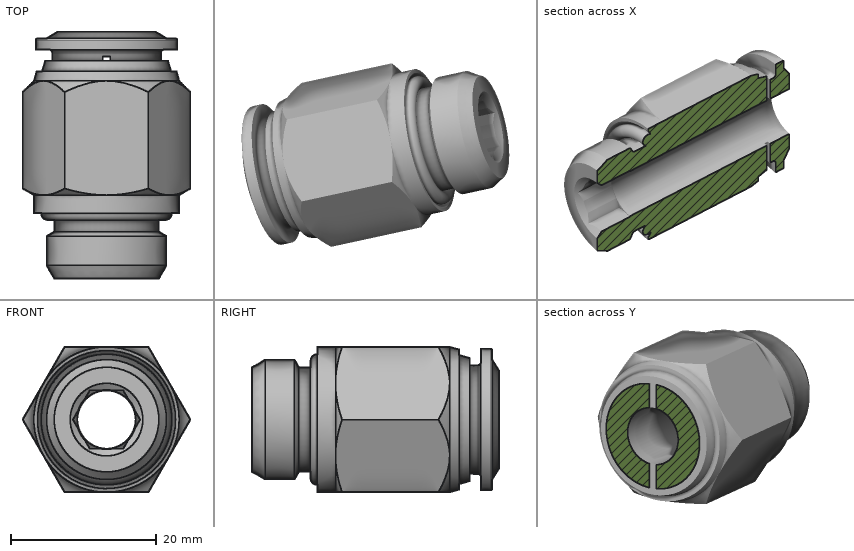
import cadquery as cq
import math

LENGTH = 34.0

HEX_HALF_ANGLE = math.radians(30)

thread_radius = 8.25
neck_radius = 7.2
thread_step = thread_radius - neck_radius
thread_lead_angle = math.radians(30)
runout_angle = math.radians(60)
thread_lead_length = thread_step / math.tan(thread_lead_angle)
runout_length = thread_step / math.tan(runout_angle)
neck_start_y = 6.45

ring_center_radius = 8.05
ring_wire_radius = 0.95
seat_mouth_radius = 9.5
seat_contact_angle = math.radians(30)

collar_radius = 10.0
collar_front_y = 9.0
hex_front_y = 11.5
hex_rear_y = 27.2
hex_flats = 2 * collar_radius
hex_corner_radius = collar_radius / math.cos(HEX_HALF_ANGLE)
hex_corner_height = hex_corner_radius - collar_radius
hex_front_chamfer_angle = math.radians(60)
hex_rear_chamfer_angle = math.radians(45)
hex_front_chamfer_length = hex_corner_height / math.tan(hex_front_chamfer_angle)
hex_rear_chamfer_length = hex_corner_height / math.tan(hex_rear_chamfer_angle)

rear_step_y = 28.5
body_rear_y = 30.0
large_taper_end_radius = 9.65
small_taper_start_radius = 8.9
small_taper_end_radius = 8.45

sleeve_radius = 7.5
sleeve_fillet = 0.4
flange_radius = 9.75
flange_front_y = 31.5
flange_rear_y = 33.05
flange_edge_fillet = 0.25
dome_base_radius = 8.25
dome_end_radius = 6.7
slot_width = 1.0
slot_length = 0.55

bore_radius = 4.0
socket_relief_radius = 4.1
mouth_radius = 5.0
mouth_depth = 0.8
socket_flats = 8.0
socket_depth = 5.8


def arc_mid(center, radius, start_angle, end_angle):
    """Point halfway along an arc, as (radius, y)."""
    angle = (start_angle + end_angle) / 2
    return center[0] + radius * math.cos(angle), center[1] + radius * math.sin(angle)


def make_hexagon_along_y(flats, start_y, end_y):
    """Hexagonal prism along Y with two flats facing +Z and -Z."""
    corner_diameter = flats / math.cos(HEX_HALF_ANGLE)
    plane = cq.Workplane("XZ", origin=(0, start_y, 0))
    return plane.polygon(6, corner_diameter).extrude(start_y - end_y)


def make_revolved(profile):
    """Solid of revolution about Y from a (radius, y) outline."""
    return profile.close().revolve(360, (0, 0, 0), (0, 1, 0))


def make_front():
    """Spigot, neck, sealing ring and collar, up to the hexagon."""
    ring_center = (ring_center_radius, collar_front_y)
    neck_offset = neck_radius - ring_center_radius
    neck_contact_angle = -math.acos(neck_offset / ring_wire_radius)
    neck_contact_y = collar_front_y + ring_wire_radius * math.sin(neck_contact_angle)
    seat_contact = (
        ring_center_radius + ring_wire_radius * math.cos(seat_contact_angle),
        collar_front_y + ring_wire_radius * math.sin(seat_contact_angle),
    )
    ring_crest = arc_mid(ring_center, ring_wire_radius, neck_contact_angle, seat_contact_angle)
    profile = (
        cq.Workplane("XY")
        .moveTo(0, 0)
        .lineTo(neck_radius, 0)
        .lineTo(thread_radius, thread_lead_length)
        .lineTo(thread_radius, neck_start_y - runout_length)
        .lineTo(neck_radius, neck_start_y)
        .lineTo(neck_radius, neck_contact_y)
        .threePointArc(ring_crest, seat_contact)
        .lineTo(seat_mouth_radius, collar_front_y)
        .lineTo(collar_radius, collar_front_y)
        .lineTo(collar_radius, hex_front_y)
        .lineTo(0, hex_front_y)
    )
    return make_revolved(profile)


def make_hexagon():
    """Hexagon with its corners turned down at both ends."""
    turned = (
        cq.Workplane("XY")
        .moveTo(0, hex_front_y)
        .lineTo(collar_radius, hex_front_y)
        .lineTo(hex_corner_radius, hex_front_y + hex_front_chamfer_length)
        .lineTo(hex_corner_radius, hex_rear_y - hex_rear_chamfer_length)
        .lineTo(collar_radius, hex_rear_y)
        .lineTo(0, hex_rear_y)
    )
    prism = make_hexagon_along_y(hex_flats, hex_front_y, hex_rear_y)
    return prism.intersect(make_revolved(turned))


def make_rear():
    """Tapered steps and the flanged release sleeve."""
    sleeve_fillet_center = (sleeve_radius + sleeve_fillet, flange_front_y - sleeve_fillet)
    sleeve_fillet_mid = arc_mid(sleeve_fillet_center, sleeve_fillet, math.pi, math.pi / 2)
    edge_center = (flange_radius - flange_edge_fillet, flange_rear_y - flange_edge_fillet)
    edge_mid = arc_mid(edge_center, flange_edge_fillet, 0, math.pi / 2)
    profile = (
        cq.Workplane("XY")
        .moveTo(0, hex_rear_y)
        .lineTo(collar_radius, hex_rear_y)
        .lineTo(large_taper_end_radius, rear_step_y)
        .lineTo(small_taper_start_radius, rear_step_y)
        .lineTo(small_taper_end_radius, body_rear_y)
        .lineTo(sleeve_radius, body_rear_y)
        .lineTo(sleeve_radius, sleeve_fillet_center[1])
        .threePointArc(sleeve_fillet_mid, (sleeve_fillet_center[0], flange_front_y))
        .lineTo(flange_radius, flange_front_y)
        .lineTo(flange_radius, edge_center[1])
        .threePointArc(edge_mid, (edge_center[0], flange_rear_y))
        .lineTo(dome_base_radius, flange_rear_y)
        .lineTo(dome_end_radius, LENGTH)
        .lineTo(0, LENGTH)
    )
    return make_revolved(profile)


def make_bore():
    """Through bore, slightly wider along the key socket, with a conical mouth at the threaded end."""
    profile = (
        cq.Workplane("XY")
        .moveTo(0, 0)
        .lineTo(mouth_radius, 0)
        .lineTo(socket_relief_radius, mouth_depth)
        .lineTo(socket_relief_radius, socket_depth)
        .lineTo(bore_radius, socket_depth)
        .lineTo(bore_radius, LENGTH)
        .lineTo(0, LENGTH)
    )
    return make_revolved(profile)


def make_sleeve_slot():
    """Slot across the release sleeve along Z, just behind the body."""
    slot_center_y = body_rear_y + slot_length / 2
    slot_height = 2 * flange_radius
    return cq.Workplane("XY").box(slot_width, slot_length, slot_height).translate((0, slot_center_y, 0))


body = make_front().union(make_hexagon()).union(make_rear())
body = body.cut(make_bore())
body = body.cut(make_hexagon_along_y(socket_flats, 0, socket_depth))
result = body.cut(make_sleeve_slot())